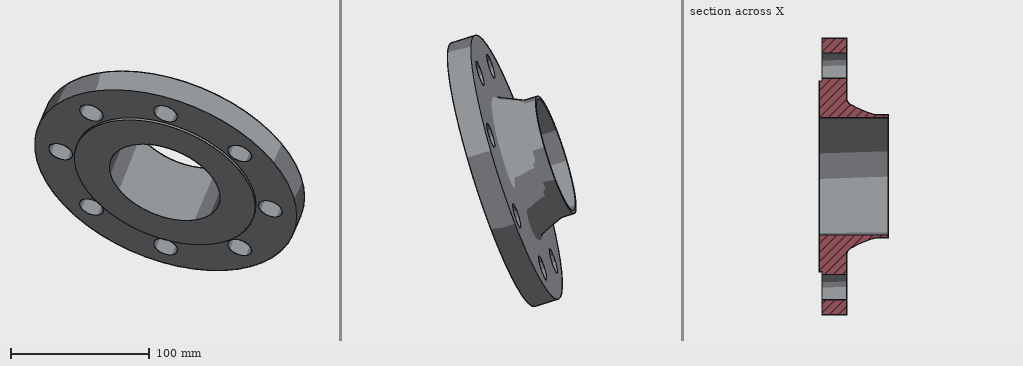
import cadquery as cq

flange_diameter = 200.0
flange_back = 20.0
face_diameter = 138.0
face_height = 2.0
total_length = 50.0
bore_diameter = 84.5
neck_diameter = 89.0
neck_length = 10.0
hub_diameter = 106.0
hub_fillet = 6.0

bolt_count = 8
bolt_circle_diameter = 160.0
bolt_hole_diameter = 18.0

neck_start = total_length - neck_length


def disc(diameter, start, end):
    """Solid cylinder on the Y axis between two axial positions."""
    plane = cq.Plane(origin=(0, start, 0), xDir=(1, 0, 0), normal=(0, 1, 0))
    return cq.Workplane(plane).circle(diameter / 2).extrude(end - start)


def fillet_ring(body, diameter, position):
    """Round the circular edge of the given diameter at an axial position."""
    margin = 0.2
    reach = diameter / 2 + margin
    ring = cq.selectors.BoxSelector(
        (-reach, position - margin, -reach),
        (reach, position + margin, reach),
        boundingbox=True,
    )
    return body.edges(ring).fillet(hub_fillet)


def flange_body():
    """Revolved plate, raised face, tapered hub and weld neck."""
    profile = (
        cq.Workplane("XY")
        .lineTo(face_diameter / 2, 0)
        .lineTo(face_diameter / 2, face_height)
        .lineTo(flange_diameter / 2, face_height)
        .lineTo(flange_diameter / 2, flange_back)
        .lineTo(hub_diameter / 2, flange_back)
        .lineTo(neck_diameter / 2, neck_start)
        .lineTo(neck_diameter / 2, total_length)
        .lineTo(0, total_length)
        .close()
    )
    body = profile.revolve(360, (0, 0, 0), (0, 1, 0))
    body = fillet_ring(body, hub_diameter, flange_back)
    return fillet_ring(body, neck_diameter, neck_start)


def bolt_holes():
    """Ring of through holes, the first one on the X axis."""
    hole = disc(bolt_hole_diameter, 0, flange_back).translate((bolt_circle_diameter / 2, 0, 0))
    holes = cq.Workplane("XY")
    for index in range(bolt_count):
        angle = index * 360 / bolt_count
        holes = holes.add(hole.rotate((0, 0, 0), (0, 1, 0), angle))
    return holes.combine()


bore = disc(bore_diameter, 0, total_length)
result = flange_body().cut(bore).cut(bolt_holes())